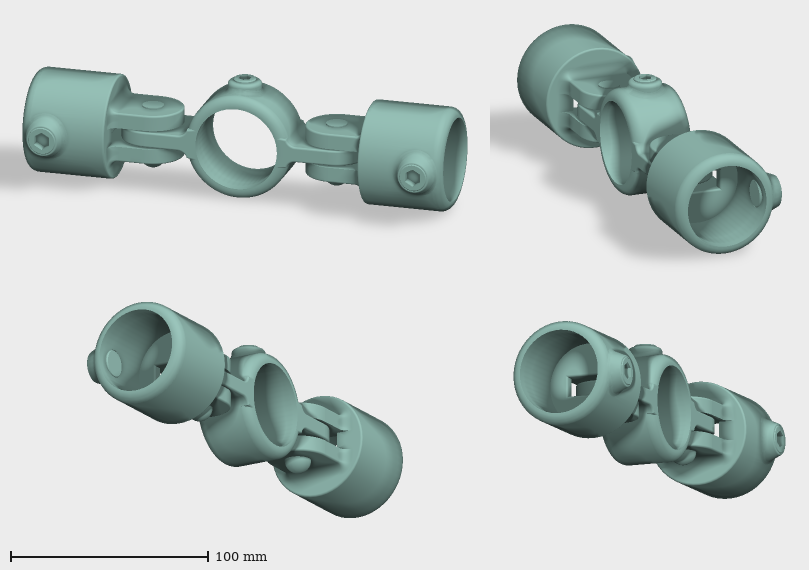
import cadquery as cq
import math

pin_offset = 48.5
lug_radius = 16.0
lug_width = 2 * lug_radius
lug_edge_radius = 1.0
tongue_thickness = 8.0
prong_thickness = 8.0
hinge_clearance = 1.0
fork_gap = tongue_thickness + 2 * hinge_clearance
fork_height = fork_gap + 2 * prong_thickness

bore_radius = 21.5
end_round = 5.0

ring_radius = 27.4
ring_width = lug_width
flare_radius = 5.0
web_bore_height = 8.7

socket_radius = 26.75
socket_outer_end = 111.0
socket_inner_end = 67.0
socket_length = socket_outer_end - socket_inner_end
socket_wall = 5.0
socket_inner_round = 1.0
fork_root_radius = 4.5
window_width = 24.0
window_round = 1.0

pin_radius = 5.5
pin_protrusion = 0.7
pin_head_radius = 6.75

screw_chamfer = 0.5
hex_depth = 5.0

ring_boss_radius = 8.7
ring_boss_height = 31.9
ring_boss_foot = 2.5
ring_boss_round = 2.0
ring_screw_radius = 5.8
ring_screw_height = 33.1
ring_screw_tip = 20.5
ring_hex_flats = 6.0

socket_boss_radius = 8.0
socket_boss_slope = 23.0
socket_boss_height = 32.0
socket_boss_base_radius = (
    socket_boss_radius
    + (socket_boss_height - bore_radius) * math.tan(math.radians(socket_boss_slope))
)
socket_boss_foot = 3.0
socket_boss_round = 0.8
socket_screw_radius = 7.2
socket_screw_height = 32.43
socket_screw_tip = 20.2
socket_hex_flats = 8.0
socket_screw_offset = 98.0

selection_margin = 0.1


def box_between(low, high):
    """Selector for everything centred between two corners."""
    return cq.selectors.BoxSelector(low, high)


def cylinder_z(radius, bottom, top):
    return cq.Workplane("XY").workplane(offset=bottom).circle(radius).extrude(top - bottom)


def cylinder_x(radius, start, length):
    return cq.Workplane("YZ").workplane(offset=start).circle(radius).extrude(length)


def cylinder_y(radius, width):
    """Cylinder along Y, centred on the origin."""
    return cq.Workplane("XZ").workplane(offset=-width / 2).circle(radius).extrude(width)


def pin_hole(x):
    return cylinder_z(pin_radius, -fork_height, fork_height).translate((x, 0, 0))


def to_left_screw(shape):
    """Turn a shape that stands on Z to point along -Y, at the left socket's set screw."""
    return shape.rotate((0, 0, 0), (1, 0, 0), 90).translate((-socket_screw_offset, 0, 0))


def make_screw(radius, tip, height, hex_flats):
    """Set screw standing on Z, with a hexagon recess in its outer face."""
    hex_corners = hex_flats / math.cos(math.pi / 6)
    screw = cylinder_z(radius, tip, height).edges().chamfer(screw_chamfer)
    recess = (
        cq.Workplane("XY").workplane(offset=height - hex_depth)
        .transformed(rotate=(0, 0, 90)).polygon(6, hex_corners).extrude(hex_depth)
    )
    return screw.cut(recess)


def make_left_screw():
    screw = make_screw(socket_screw_radius, socket_screw_tip, socket_screw_height, socket_hex_flats)
    return to_left_screw(screw)


def make_pin(x):
    """Pin with a flat upper end and a domed head under the lower prong."""
    half = fork_height / 2
    shaft = cylinder_z(pin_radius, -half, half + pin_protrusion)
    dome = cq.Workplane("XY").workplane(offset=-half).sphere(pin_head_radius)
    below_fork = cylinder_z(lug_radius, -fork_height, -half)
    return shaft.union(dome.intersect(below_fork)).translate((x, 0, 0))


def hinge_plate():
    """Plate with both tongues, flared towards the ring and rounded along its edges."""
    half = tongue_thickness / 2
    tip_x = pin_offset + lug_radius
    bore_x = math.sqrt(bore_radius ** 2 - web_bore_height ** 2)

    center_z = half + flare_radius
    center_x = math.sqrt((ring_radius + flare_radius) ** 2 - center_z ** 2)
    center_angle = math.atan2(center_z, center_x)
    tangent_x = ring_radius * math.cos(center_angle)
    tangent_z = ring_radius * math.sin(center_angle)
    half_sweep = (math.pi / 2 - center_angle) / 2
    middle_x = center_x - flare_radius * math.sin(half_sweep)
    middle_z = center_z - flare_radius * math.cos(half_sweep)

    quarter = (
        cq.Workplane("XZ").lineTo(tip_x, 0).lineTo(tip_x, half).lineTo(center_x, half)
        .threePointArc((middle_x, middle_z), (tangent_x, tangent_z))
        .lineTo(bore_x, web_bore_height).lineTo(0, web_bore_height).close()
        .extrude(lug_width / 2, both=True)
    )
    upper_half = quarter.union(quarter.mirror("YZ"))
    plate = upper_half.union(upper_half.mirror("XY")).clean()
    outline = cq.Workplane("XY").slot2D(2 * tip_x, lug_width).extrude(web_bore_height, both=True)
    plate = plate.intersect(outline)
    return plate.edges("not |Z").edges("not |Y").fillet(lug_edge_radius)


def ring_shell():
    """Solid ring with rounded rims and the set screw boss on top."""
    ring = cylinder_y(ring_radius, ring_width).edges("%CIRCLE").fillet(end_round)
    ring = ring.union(cylinder_z(ring_boss_radius, 0, ring_boss_height))
    reach = ring_boss_radius + ring_boss_foot
    foot = box_between((-reach, -reach, bore_radius), (reach, reach, ring_boss_height - selection_margin))
    ring = ring.edges(foot).edges("not %CIRCLE").fillet(ring_boss_foot)
    return ring.faces(">Z").edges().fillet(ring_boss_round)


def make_ring():
    """Ring round a tube along Y, with a tongue on each side."""
    ring = ring_shell().union(hinge_plate())
    ring = ring.cut(cylinder_y(bore_radius, 2 * ring_width))
    ring = ring.cut(cylinder_z(ring_screw_radius, 0, ring_boss_height))
    for x in (-pin_offset, pin_offset):
        ring = ring.cut(pin_hole(x))
    return ring


def socket_boss():
    """Cone that stands on Z and narrows towards the screw face."""
    height = socket_boss_height - bore_radius
    base = cq.Workplane("XY").workplane(offset=bore_radius).circle(socket_boss_base_radius)
    return base.extrude(height, taper=socket_boss_slope)


def socket_drum():
    """Solid drum with rounded ends and the set screw boss on its -Y side."""
    drum = cylinder_x(socket_radius, -socket_outer_end, socket_length)
    drum = drum.faces("<X").edges().fillet(end_round)
    drum = drum.faces(">X").edges().fillet(socket_inner_round)
    drum = drum.union(to_left_screw(socket_boss()))
    reach = socket_boss_base_radius
    foot = box_between(
        (-socket_screw_offset - reach, -socket_boss_height + selection_margin, -reach),
        (-socket_screw_offset + reach, -bore_radius, reach),
    )
    drum = drum.edges(foot).edges("not %CIRCLE").fillet(socket_boss_foot)
    return drum.faces("<Y").edges().fillet(socket_boss_round)


def add_fork(drum):
    """Join the fork to the drum, still as one thick lug, with a rounded root."""
    start_x = -socket_inner_end - socket_wall / 2
    fork = (
        cq.Workplane("XY").moveTo(start_x, -lug_radius).lineTo(-pin_offset, -lug_radius)
        .threePointArc((lug_radius - pin_offset, 0), (-pin_offset, lug_radius))
        .lineTo(start_x, lug_radius).close()
        .extrude(fork_height / 2, both=True)
    )
    fork = fork.faces("|Z").edges("not <X").fillet(lug_edge_radius)
    root = box_between(
        (-socket_inner_end - selection_margin, -lug_radius - selection_margin, -fork_height),
        (-socket_inner_end + selection_margin, lug_radius + selection_margin, fork_height),
    )
    return drum.union(fork).edges(root).fillet(fork_root_radius)


def cut_fork_gap(socket):
    gap = cq.Workplane("XY").box(pin_offset, 2 * lug_width, fork_gap, centered=(False, True, True))
    return socket.cut(gap.translate((-socket_inner_end, 0, 0)))


def cut_bore_and_window(socket):
    """Bore the drum and open a round-edged window in the wall that closes it."""
    floor_x = -socket_inner_end - socket_wall
    socket = socket.cut(cylinder_x(bore_radius, -socket_outer_end, socket_length - socket_wall))
    window = cq.Workplane("XY").box(2 * socket_wall, window_width, fork_gap)
    socket = socket.cut(window.translate((floor_x + socket_wall / 2, 0, 0)))
    rim = box_between(
        (floor_x - selection_margin, -window_width, -fork_gap),
        (floor_x + selection_margin, window_width, fork_gap),
    )
    return socket.edges(rim).edges("not %CIRCLE").fillet(window_round)


def make_left_socket():
    """Socket round a tube along X, with the hinge fork towards the ring."""
    socket = add_fork(socket_drum())
    socket = cut_fork_gap(socket)
    socket = cut_bore_and_window(socket)
    socket = socket.cut(to_left_screw(cylinder_z(socket_screw_radius, 0, socket_boss_height)))
    return socket.cut(pin_hole(-pin_offset))


ring = make_ring()
ring_screw = make_screw(ring_screw_radius, ring_screw_tip, ring_screw_height, ring_hex_flats)
bodies = [ring.val(), ring_screw.val()]

left_socket = make_left_socket()
left_screw = make_left_screw()
for left_body in (left_socket, left_screw):
    bodies.append(left_body.val())
    bodies.append(left_body.mirror("YZ").val())

for x in (-pin_offset, pin_offset):
    bodies.append(make_pin(x).val())

result = cq.Compound.makeCompound(bodies)